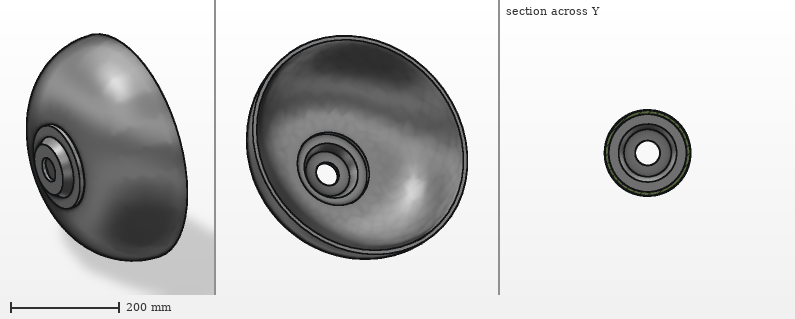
import cadquery as cq
import math

outer_radius = 215.0
total_depth = 167.0
lip_depth = 2.5
wall = 8.0
flange_radius = 80.0
flange_thickness = 10.5
boss_base_radius = 58.5
boss_height = 17.0
boss_slope = math.radians(30)
hole_radius = 23.0

rim_y = total_depth / 2
front_y = -total_depth / 2
flange_front_y = front_y + boss_height
floor_y = flange_front_y + flange_thickness
lip_y = rim_y - lip_depth

side_radius = lip_y - floor_y
floor_radius = outer_radius - side_radius
boss_face_radius = boss_base_radius - boss_height * math.tan(boss_slope)

inner_side_radius = side_radius - wall
inner_floor_y = floor_y + wall
inner_flange_y = flange_front_y + wall
inner_flange_radius = flange_radius - wall
inner_face_y = front_y + wall
inner_cone_radius = boss_base_radius - wall / math.cos(boss_slope)
inner_boss_base_radius = inner_cone_radius + wall * math.tan(boss_slope)
inner_boss_face_radius = inner_cone_radius - (boss_height - wall) * math.tan(boss_slope)


def add_bowl_side(profile, radius):
    """Continue a profile at the lip with a quarter circle down to the floor."""
    diagonal = radius * math.sqrt(0.5)
    middle = (floor_radius + diagonal, lip_y - diagonal)
    return profile.threePointArc(middle, (floor_radius, lip_y - radius))


def revolve_about_y(profile):
    return profile.close().revolve(360, (0, 0, 0), (0, 1, 0))


def make_bowl():
    profile = cq.Workplane("XY").moveTo(0, rim_y).lineTo(outer_radius, rim_y).lineTo(outer_radius, lip_y)
    return revolve_about_y(add_bowl_side(profile, side_radius).lineTo(0, floor_y))


def make_flange_and_boss():
    profile = (
        cq.Workplane("XY")
        .moveTo(0, floor_y)
        .lineTo(flange_radius, floor_y)
        .lineTo(flange_radius, flange_front_y)
        .lineTo(boss_base_radius, flange_front_y)
        .lineTo(boss_face_radius, front_y)
        .lineTo(0, front_y)
    )
    return revolve_about_y(profile)


def make_cavity():
    inner_radius = outer_radius - wall
    profile = cq.Workplane("XY").moveTo(0, rim_y).lineTo(inner_radius, rim_y).lineTo(inner_radius, lip_y)
    profile = (
        add_bowl_side(profile, inner_side_radius)
        .lineTo(inner_flange_radius, inner_floor_y)
        .lineTo(inner_flange_radius, inner_flange_y)
        .lineTo(inner_boss_base_radius, inner_flange_y)
        .lineTo(inner_boss_face_radius, inner_face_y)
        .lineTo(0, inner_face_y)
    )
    return revolve_about_y(profile)


def make_hole():
    face = cq.Workplane("XZ", origin=(0, front_y, 0))
    return face.circle(hole_radius).extrude(-total_depth)


result = make_bowl().union(make_flange_and_boss()).cut(make_cavity()).cut(make_hole())